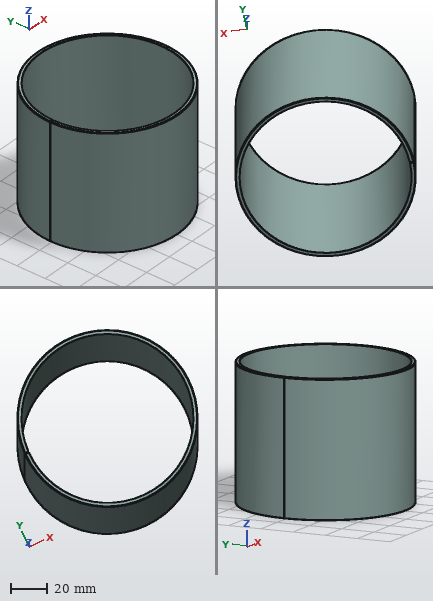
import cadquery as cq

outer_diameter = 100.0
wall_thickness = 2.5
length = 80.0
outer_chamfer = 0.5
inner_chamfer = 0.2
joint_angle = 1.0

outer_radius = outer_diameter / 2
inner_radius = outer_radius - wall_thickness
half_length = length / 2


def wall_section():
    """Wall cross-section on the -X side, with all four corners chamfered."""
    return (
        cq.Workplane("XZ")
        .moveTo(-inner_radius - inner_chamfer, half_length)
        .lineTo(-outer_radius + outer_chamfer, half_length)
        .lineTo(-outer_radius, half_length - outer_chamfer)
        .lineTo(-outer_radius, -half_length + outer_chamfer)
        .lineTo(-outer_radius + outer_chamfer, -half_length)
        .lineTo(-inner_radius - inner_chamfer, -half_length)
        .lineTo(-inner_radius, -half_length + inner_chamfer)
        .lineTo(-inner_radius, half_length - inner_chamfer)
        .close()
    )


axis_start = (0, 0, 0)
axis_end = (0, 1, 0)
result = wall_section().revolve(360 - joint_angle, axis_start, axis_end)